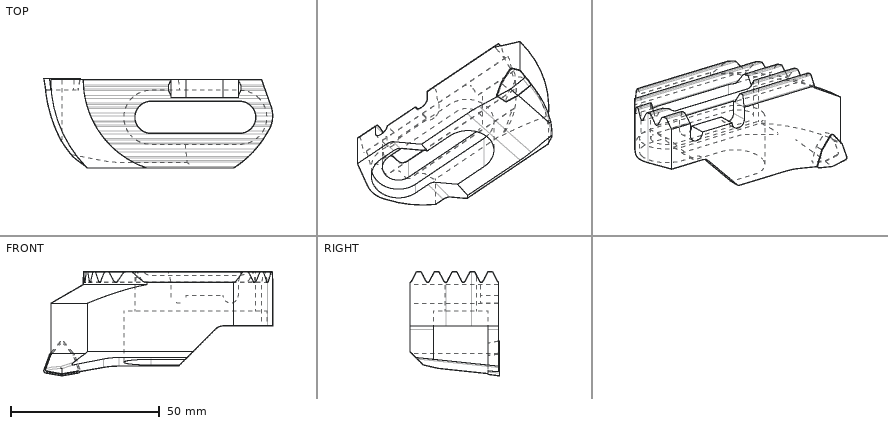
import cadquery as cq
import math

holder_width = 29.8
overall_length = 77.0
below_everything = -45.0
beyond_everything = 150.0

axis_x = 44.7
axis_y = holder_width
serration_radius = 31.4
front_radius = 42.3
tail_radius = 35.4
nose_radius = 9.5
nose_center_y = 17.6
nose_start_angle = math.radians(-35)
nose_end_angle = math.radians(19.5)

cone_top_z = -4.35
cone_angle = math.radians(30)
cone_bottom_z = cone_top_z - (front_radius - serration_radius) * math.tan(cone_angle)
flare_top_z = -27.5
flare_angle = math.radians(20)

tooth_pitch = 6.0
tooth_count = 5
tooth_depth = 3.6
tooth_flank_angle = math.radians(27.5)
crest_half_width = 0.78
root_half_width = tooth_pitch / 2 - crest_half_width - tooth_depth * math.tan(tooth_flank_angle)
crest_fillet = 0.53
root_radius = root_half_width / (
    math.cos(tooth_flank_angle) - (1 - math.sin(tooth_flank_angle)) * math.tan(tooth_flank_angle)
)

edge_chamfer_top_z = -26.9
edge_chamfer_size = 5.0
base_z = -31.78
side_slope = math.radians(6)
facet_angle = math.radians(10)
facet_blend_radius = 30.0
foot_edge_round = 0.5
tail_z = -18.27
heel_x = 45.3
heel_fillet = 4.0

slot_radius = 5.35
slot_y = 17.1
slot_front_x = 36.05
slot_rear_x = 65.9
counterbore_radius = 9.1
counterbore_depth = 5.0

key_center_x = 54.1
key_width = 22.6
key_depth = 8.0
key_end_y = 23.7
key_relief_radius = 2.55
key_mouth_flare = 0.9

insert_x = 6.17
insert_z = -30.25
insert_inscribed_radius = 4.7625
insert_corner_count = 3
insert_corner_angle = math.radians(80)
insert_nose_radius = 0.8
insert_thickness = 3.97
insert_proud = 0.37
insert_clearance = 7.0
pocket_opening = 1.0
facet_peak_z = -34.7


def turned_front():
    """Half-turned front: serration wall, cone, cylinder and flared foot."""
    flare_radius = front_radius + (flare_top_z - below_everything) * math.tan(flare_angle)
    return (
        cq.Workplane("XZ", origin=(axis_x, axis_y, 0))
        .moveTo(0, 0)
        .lineTo(-serration_radius, 0)
        .lineTo(-serration_radius, cone_top_z)
        .lineTo(-front_radius, cone_bottom_z)
        .lineTo(-front_radius, flare_top_z)
        .lineTo(-flare_radius, below_everything)
        .lineTo(0, below_everything)
        .close()
        .revolve(90, (0, 0), (0, 1))
    )


def tail_block():
    """Straight-walled rear half, ending in a tail arc, a nose arc and a slanted flat."""
    nose_center_x = overall_length - nose_radius

    def nose_point(angle):
        return (
            nose_center_x + nose_radius * math.cos(angle),
            nose_center_y + nose_radius * math.sin(angle),
        )

    def tail_point(angle):
        return (axis_x + tail_radius * math.cos(angle), axis_y + tail_radius * math.sin(angle))

    nose_start = nose_point(nose_start_angle)
    nose_end = nose_point(nose_end_angle)
    tail_start_angle = -math.asin(axis_y / tail_radius)
    tail_end_angle = math.atan2(nose_start[1] - axis_y, nose_start[0] - axis_x)
    flat_end_x = nose_end[0] - (holder_width - nose_end[1]) * math.tan(nose_end_angle)
    return (
        cq.Workplane("XY")
        .moveTo(axis_x, 0)
        .lineTo(*tail_point(tail_start_angle))
        .threePointArc(tail_point((tail_start_angle + tail_end_angle) / 2), nose_start)
        .threePointArc((overall_length, nose_center_y), nose_end)
        .lineTo(flat_end_x, holder_width)
        .lineTo(axis_x, holder_width)
        .close()
        .extrude(below_everything)
    )


def serrated_bar():
    """Long bar carrying the serrations on top and the chamfer on its lower outer edge."""
    arc_end_y = root_radius * math.cos(tooth_flank_angle)
    arc_end_z = -tooth_depth + root_radius * (1 - math.sin(tooth_flank_angle))
    arc_middle_angle = (math.pi / 2 + tooth_flank_angle) / 2
    arc_middle_y = root_radius * math.cos(arc_middle_angle)
    arc_middle_z = -tooth_depth + root_radius * (1 - math.sin(arc_middle_angle))
    outline = (
        cq.Workplane("YZ", origin=(-beyond_everything, 0, 0))
        .moveTo(edge_chamfer_size, below_everything)
        .lineTo(edge_chamfer_size, edge_chamfer_top_z - edge_chamfer_size)
        .lineTo(0, edge_chamfer_top_z)
        .lineTo(0, -tooth_depth)
    )
    for tooth in range(tooth_count):
        start_y = tooth_pitch * tooth
        crest_y = start_y + tooth_pitch / 2
        end_y = start_y + tooth_pitch
        outline = (
            outline.threePointArc((start_y + arc_middle_y, arc_middle_z), (start_y + arc_end_y, arc_end_z))
            .lineTo(crest_y - crest_half_width, 0)
            .lineTo(crest_y + crest_half_width, 0)
            .lineTo(end_y - arc_end_y, arc_end_z)
            .threePointArc((end_y - arc_middle_y, arc_middle_z), (end_y, -tooth_depth))
        )
    bar = outline.lineTo(tooth_count * tooth_pitch, below_everything).close().extrude(2 * beyond_everything)
    return bar.faces(">Z").edges("|X").fillet(crest_fillet)


def sloped_underside():
    """Bar whose bottom rises towards the outer wall and dips to a ridge under the insert."""
    flat_start_x = insert_x + (base_z - facet_peak_z) / math.tan(facet_angle)
    front_x = -beyond_everything
    front_z = facet_peak_z + (insert_x - front_x) * math.tan(facet_angle)
    blend_run = facet_blend_radius * math.tan(facet_angle / 2)
    blend_drop = facet_blend_radius * (1 / math.cos(facet_angle / 2) - 1)
    blend_start = (
        flat_start_x - blend_run * math.cos(facet_angle),
        base_z - blend_run * math.sin(facet_angle),
    )
    blend_middle = (
        flat_start_x + blend_drop * math.sin(facet_angle / 2),
        base_z - blend_drop * math.cos(facet_angle / 2),
    )
    wire = (
        cq.Workplane("XZ", origin=(0, holder_width, 0))
        .moveTo(front_x, beyond_everything)
        .lineTo(front_x, front_z)
        .lineTo(insert_x, facet_peak_z)
        .lineTo(*blend_start)
        .threePointArc(blend_middle, (flat_start_x + blend_run, base_z))
        .lineTo(beyond_everything, base_z)
        .lineTo(beyond_everything, beyond_everything)
        .close()
        .val()
    )
    sweep = cq.Vector(0, -holder_width, holder_width * math.tan(side_slope))
    return cq.Workplane(cq.Solid.extrudeLinear(wire, [], sweep))


def tail_relief():
    """Space under the raised tail, behind the 45 degree heel."""
    corner_x = heel_x + tail_z - base_z
    drop = tail_z - below_everything
    return (
        cq.Workplane("XZ", origin=(0, holder_width, 0))
        .moveTo(corner_x, tail_z)
        .lineTo(beyond_everything, tail_z)
        .lineTo(beyond_everything, below_everything)
        .lineTo(corner_x - drop, below_everything)
        .close()
        .extrude(holder_width)
        .edges(cq.selectors.NearestToPointSelector((corner_x, holder_width / 2, tail_z)))
        .fillet(heel_fillet)
    )


def oblong(radius, top_z):
    """Oblong cutter running down from top_z along the clamping slot."""
    spacing = slot_rear_x - slot_front_x
    return (
        cq.Workplane("XY", origin=((slot_front_x + slot_rear_x) / 2, slot_y, top_z))
        .slot2D(spacing + 2 * radius, 2 * radius)
        .extrude(below_everything)
    )


def keyway():
    """Keyway cutter: flared mouth through the teeth, flat floor and two relief grooves."""
    half = key_width / 2
    mouth_half = half + key_mouth_flare
    groove = 2 * key_relief_radius
    return (
        cq.Workplane("XZ", origin=(key_center_x, holder_width, 0))
        .moveTo(-mouth_half, 0)
        .lineTo(-half, -tooth_depth)
        .lineTo(-half, -key_depth)
        .threePointArc(
            (-half + key_relief_radius, -key_depth - key_relief_radius), (-half + groove, -key_depth)
        )
        .lineTo(half - groove, -key_depth)
        .threePointArc((half - key_relief_radius, -key_depth - key_relief_radius), (half, -key_depth))
        .lineTo(half, -tooth_depth)
        .lineTo(mouth_half, 0)
        .close()
        .extrude(holder_width - key_end_y)
    )


def make_insert():
    """Trigon insert with rounded cutting corners, tapering inwards from its rake face."""
    corner_spacing = 2 * math.pi / insert_corner_count
    sharp_reach = insert_inscribed_radius / math.sin(insert_corner_angle / 2)
    blunt_turn = corner_spacing / 2
    blunt_reach = insert_inscribed_radius / math.cos((insert_corner_angle - blunt_turn) / 2)
    outline = []
    corners = []
    for corner in range(insert_corner_count):
        angle = math.pi / 2 + corner * corner_spacing
        corners.append((sharp_reach * math.cos(angle), sharp_reach * math.sin(angle)))
        outline.append(corners[-1])
        blunt_angle = angle + corner_spacing / 2
        outline.append((blunt_reach * math.cos(blunt_angle), blunt_reach * math.sin(blunt_angle)))
    rake_plane = cq.Workplane("XZ", origin=(insert_x, holder_width + insert_proud, insert_z))
    body = rake_plane.polyline(outline).close().extrude(insert_thickness, taper=insert_clearance)
    mid_depth = insert_thickness / 2
    mid_y = holder_width + insert_proud - mid_depth
    for corner_u, corner_v in corners:
        near_corner = (insert_x + corner_u, mid_y, insert_z + corner_v)
        body = body.edges(cq.selectors.NearestToPointSelector(near_corner)).fillet(insert_nose_radius)
    return body


def insert_pocket(insert):
    """Insert-shaped pocket, opened outwards and down by sliding the insert along its upper front edge."""
    slide_direction = math.radians(270) - insert_corner_angle / 2
    slide = (pocket_opening * math.cos(slide_direction), 0, pocket_opening * math.sin(slide_direction))
    return insert.union(insert.translate(slide))


def make_holder(insert):
    front = turned_front().intersect(sloped_underside())
    front = front.edges("%ELLIPSE").fillet(foot_edge_round)
    holder = front.union(tail_block().intersect(sloped_underside()))
    holder = holder.intersect(serrated_bar())
    holder = holder.cut(tail_relief())
    holder = holder.cut(oblong(slot_radius, 0))
    holder = holder.cut(oblong(counterbore_radius, tail_z + counterbore_depth))
    holder = holder.cut(keyway())
    return holder.cut(insert_pocket(insert))


insert = make_insert()
holder = make_holder(insert)

result = cq.Compound.makeCompound([holder.val(), insert.val()])